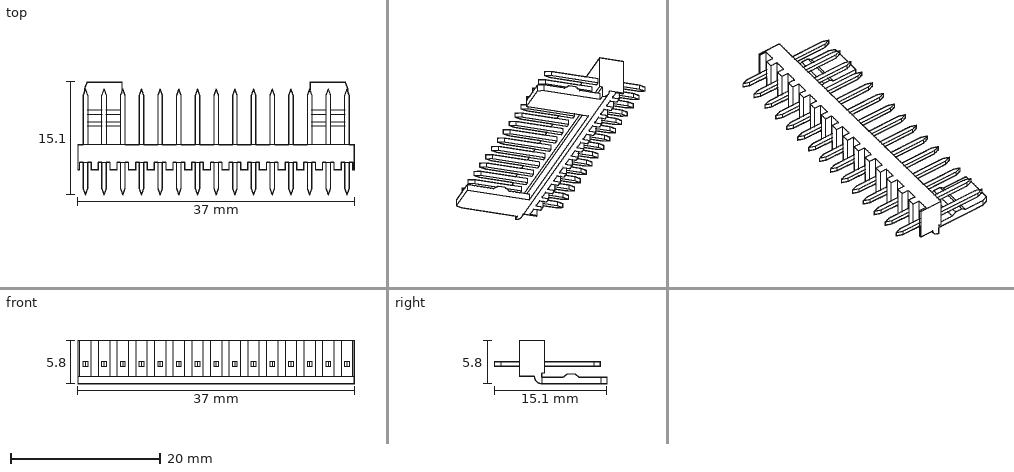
import cadquery as cq
import math

length = 37.0
height = 5.8
body_depth = 3.35
body_bottom = 1.0

rail_radius = body_bottom
rear_step_depth = 0.37
rear_step_top = 1.45
rail_rear = body_depth - rear_step_depth

pin_count = 15
pin_end_margin = 1.0
pin_pitch = (length - 2 * pin_end_margin) / (pin_count - 1)
pin_size = 0.63
pin_height = 2.65
pin_front = -3.35
pin_rear = 10.85
pin_point = 0.9
groove_width = 1.5
groove_depth = 1.0

tab_inset = 0.9
tab_width = 5.05
tab_thickness = 0.9
tab_rear = 11.73
tab_corner_length = 0.8
tab_corner_width = 0.35
ridge_center = 6.92
ridge_base = 2.15
ridge_top = 1.05
ridge_height = 0.45

first_pin = pin_end_margin - length / 2
pin_positions = [first_pin + i * pin_pitch for i in range(pin_count)]


def make_housing():
    """Body and quarter-round rail as one side profile, drawn in Y and Z."""
    diagonal = rail_radius * math.sqrt(0.5)
    profile = (
        cq.Workplane("YZ", origin=(-length / 2, 0, 0))
        .moveTo(0, height)
        .lineTo(0, body_bottom)
        .lineTo(rail_rear - rail_radius, body_bottom)
        .threePointArc((rail_rear - diagonal, body_bottom - diagonal), (rail_rear, 0))
        .lineTo(rail_rear, rear_step_top)
        .lineTo(body_depth, rear_step_top)
        .lineTo(body_depth, height)
        .close()
    )
    return profile.extrude(length)


def make_groove(x):
    """Vertical groove in the front face, open at the top and bottom."""
    body_height = height - body_bottom
    groove = cq.Workplane("XY").box(groove_width, groove_depth, body_height, centered=(True, False, False))
    return groove.translate((x, 0, body_bottom))


def make_pin(x):
    """Square pin with wedge points at both ends."""
    half = pin_size / 2
    outline = [
        (x, pin_front),
        (x + half, pin_front + pin_point),
        (x + half, pin_rear - pin_point),
        (x, pin_rear),
        (x - half, pin_rear - pin_point),
        (x - half, pin_front + pin_point),
    ]
    bottom = pin_height - half
    return cq.Workplane("XY").workplane(offset=bottom).polyline(outline).close().extrude(pin_size)


def make_left_tab():
    """Flat tab with a flat-topped ridge across it and a cut outer rear corner."""
    outer = tab_inset - length / 2
    side_profile = [
        (rail_rear, 0),
        (tab_rear, 0),
        (tab_rear, tab_thickness),
        (ridge_center + ridge_base / 2, tab_thickness),
        (ridge_center + ridge_top / 2, tab_thickness + ridge_height),
        (ridge_center - ridge_top / 2, tab_thickness + ridge_height),
        (ridge_center - ridge_base / 2, tab_thickness),
        (rail_rear, tab_thickness),
    ]
    tab = cq.Workplane("YZ", origin=(outer, 0, 0)).polyline(side_profile).close().extrude(tab_width)
    corner = [
        (outer, tab_rear),
        (outer + tab_corner_width, tab_rear),
        (outer, tab_rear - tab_corner_length),
    ]
    return tab.cut(cq.Workplane("XY").polyline(corner).close().extrude(tab_thickness))


result = make_housing()
for position in pin_positions:
    result = result.cut(make_groove(position))
for position in pin_positions:
    result = result.union(make_pin(position))

left_tab = make_left_tab()
result = result.union(left_tab).union(left_tab.mirror("YZ"))